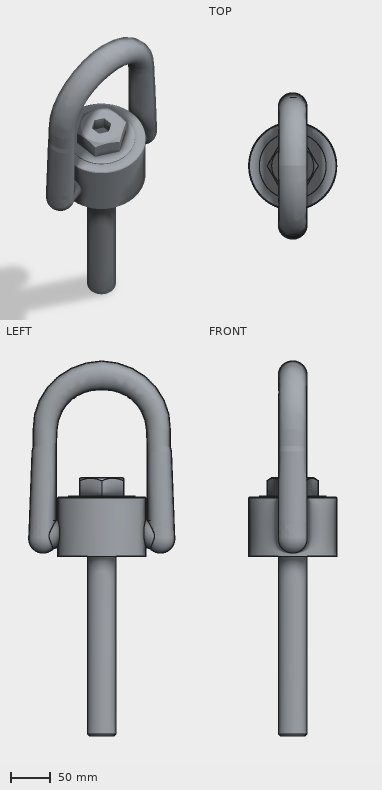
import cadquery as cq
import math

total_height = 469.0
body_bottom = 224.5
body_height = 74.0
washer_height = 1.5
head_height = 23.0
body_top = body_bottom + body_height
washer_top = body_top + washer_height
head_top = washer_top + head_height

shank_diameter = 36.0
shank_chamfer = 3.0
body_diameter = 110.0
body_edge_chamfer = 1.0
washer_diameter = 83.5
head_across_flats = 55.5
head_bevel_diameter = 52.5
head_bevel_angle = 35.0
socket_across_flats = 22.0
socket_depth = 18.8

total_width = 183.0
bar_width = 36.0
upper_leg_width = 35.0
bow_end_height = 383.0
bow_outer_radius = total_height - bow_end_height
bow_inner_half_width = 56.0
leg_inner_face = 56.5
shoulder_start = 362.0
shoulder_end = 355.5
shoulder_half_width = 87.0
leg_foot_start = 269.0
leg_foot_half_width = 90.5
leg_half_width = total_width / 2

elbow_radius = bar_width / 2
elbow_center_y = leg_half_width - elbow_radius
elbow_center_z = 246.5
trunnion_angle = 20.0
trunnion_diameter = 33.0
trunnion_length = 33.0


def hexagon_prism(across_flats, bottom, height):
    """Upright hexagonal prism with corners on the X axis."""
    across_corners = across_flats / math.cos(math.radians(30))
    return cq.Workplane("XY").workplane(offset=bottom).polygon(6, across_corners).extrude(height)


def disc(diameter, bottom, height):
    return cq.Workplane("XY").workplane(offset=bottom).circle(diameter / 2).extrude(height)


def bolt_head():
    """Hexagon head with bevelled top corners and a hexagon socket."""
    corner_radius = head_across_flats / math.sqrt(3)
    bevel_radius = head_bevel_diameter / 2
    bevel_drop = (corner_radius - bevel_radius) * math.tan(math.radians(head_bevel_angle))
    bevel_envelope = (
        cq.Workplane("XZ")
        .moveTo(0, washer_top)
        .lineTo(corner_radius, washer_top)
        .lineTo(corner_radius, head_top - bevel_drop)
        .lineTo(bevel_radius, head_top)
        .lineTo(0, head_top)
        .close()
        .revolve(360, (0, 0, 0), (0, 1, 0))
    )
    head = hexagon_prism(head_across_flats, washer_top, head_height).intersect(bevel_envelope)
    return head.cut(hexagon_prism(socket_across_flats, head_top - socket_depth, socket_depth))


def bolt_and_body():
    shank = disc(shank_diameter, 0, body_bottom).faces("<Z").chamfer(shank_chamfer)
    body = disc(body_diameter, body_bottom, body_height).faces(">Z").chamfer(body_edge_chamfer)
    washer = disc(washer_diameter, body_top, washer_height)
    return shank.union(body).union(washer).union(bolt_head())


def leg_section(height, inner_y, outer_y, width):
    """Horizontal elliptical bar section spanning inner_y to outer_y."""
    center = cq.Vector(0, (inner_y + outer_y) / 2, height)
    plane = cq.Plane(origin=center, xDir=(1, 0, 0), normal=(0, 0, 1))
    return cq.Workplane(plane).ellipse(width / 2, (outer_y - inner_y) / 2).wires().val()


def bow_quarter():
    """Quarter of the bow, from the leg top to the crown."""
    leg_center_y = (bow_inner_half_width + bow_outer_radius) / 2
    leg_thickness = bow_outer_radius - bow_inner_half_width
    crown_rise = bow_outer_radius - bar_width / 2
    path = (
        cq.Workplane("YZ", origin=(0, 0, bow_end_height))
        .ellipseArc(leg_center_y, crown_rise, 0, 90, startAtCurrent=False)
    )
    leg_plane = cq.Plane(origin=(0, leg_center_y, bow_end_height), xDir=(1, 0, 0), normal=(0, 0, 1))
    crown_plane = cq.Plane(
        origin=(0, 0, bow_end_height + crown_rise), xDir=(1, 0, 0), normal=(0, -1, 0)
    )
    leg_end = cq.Workplane(leg_plane).ellipse(upper_leg_width / 2, leg_thickness / 2).wires().val()
    crown_end = cq.Workplane(crown_plane).ellipse(bar_width / 2, bar_width / 2).wires().val()
    return cq.Workplane(cq.Solid.sweep_multi([leg_end, crown_end], path.val()))


def leg():
    """Straight leg with a small shoulder, widening towards the elbow."""
    sections = [
        leg_section(bow_end_height, bow_inner_half_width, bow_outer_radius, upper_leg_width),
        leg_section(shoulder_start, leg_inner_face, bow_outer_radius, upper_leg_width),
        leg_section(shoulder_end, leg_inner_face, shoulder_half_width, upper_leg_width),
        leg_section(leg_foot_start, leg_inner_face, leg_foot_half_width, bar_width),
        leg_section(elbow_center_z, leg_half_width - bar_width, leg_half_width, bar_width),
    ]
    return cq.Workplane(cq.Solid.makeLoft(sections, True))


def elbow_and_trunnion():
    """Half-ball elbow under the leg with a round trunnion sloping up into the body."""
    center = cq.Vector(0, elbow_center_y, elbow_center_z)
    slope = math.radians(trunnion_angle)
    inward = cq.Vector(0, -math.cos(slope), math.sin(slope))
    elbow = cq.Workplane("XY").sphere(elbow_radius, angle1=-90, angle2=0).translate(center)
    trunnion = cq.Solid.makeCylinder(trunnion_diameter / 2, trunnion_length, center, inward)
    return elbow.union(cq.Workplane(trunnion))


half_shackle = bow_quarter().union(leg()).union(elbow_and_trunnion())
shackle = half_shackle.union(half_shackle.mirror("XZ"))
result = bolt_and_body().union(shackle)